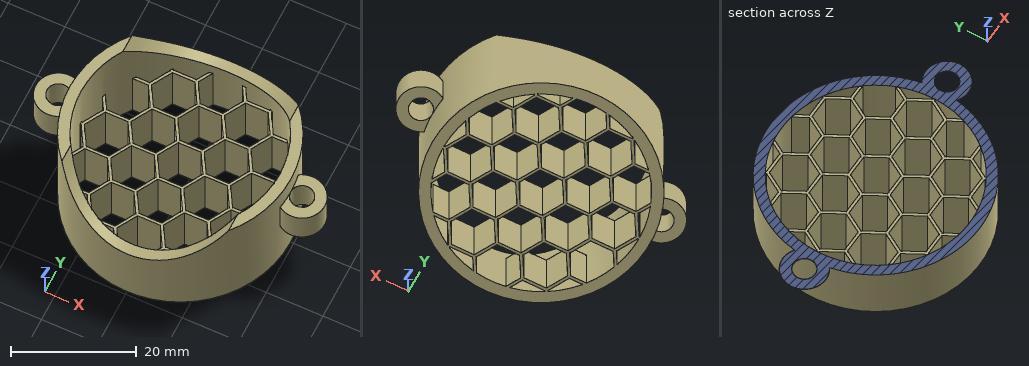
import cadquery as cq
import math

overall_length = 51.0
ring_diameter = 39.0
bore_diameter = 35.0
ring_height = 20.0

saddle_radius = 17.5
saddle_low_point = 12.0

lug_diameter = 8.0
lug_hole_diameter = 4.0
lug_bottom = 10.0
lug_height = 6.0
lug_offset = (overall_length - lug_diameter) / 2

cell_pitch = 7.45
cell_wall = 0.5
grille_height = 10.0


def cylinder(diameter, height, x=0, z=0):
    """Vertical cylinder centred at (x, 0) and standing on height z."""
    return cq.Workplane("XY", origin=(x, 0, z)).circle(diameter / 2).extrude(height)


def make_ring():
    """Tube with a saddle-shaped top edge."""
    tube = cylinder(ring_diameter, ring_height).cut(cylinder(bore_diameter, ring_height))
    saddle = (
        cq.Workplane("XZ")
        .center(0, saddle_low_point + saddle_radius)
        .circle(saddle_radius)
        .extrude(ring_diameter, both=True)
    )
    return tube.cut(saddle)


def make_lug(side):
    """Lug with a vertical hole, kept clear of the bore; side is +1 or -1 along X."""
    x = side * lug_offset
    lug = cylinder(lug_diameter, lug_height, x, lug_bottom)
    hole = cylinder(lug_hole_diameter, lug_height, x, lug_bottom)
    return lug.cut(hole).cut(cylinder(bore_diameter, ring_height))


def cell_centers():
    """Centres of a grid of hexagonal cells that covers the bore, one cell lying on the axis."""
    column_pitch = cell_pitch * math.sqrt(3) / 2
    reach = math.ceil(bore_diameter / 2 / column_pitch) + 1
    centers = []
    for column in range(-reach, reach + 1):
        for row in range(-reach, reach + 1):
            y = (row + column % 2 / 2) * cell_pitch
            centers.append((column * column_pitch, y))
    return centers


def make_grille():
    """Disc filling the bore, pierced by hexagonal cells with flats facing +Y and -Y."""
    cell_corner_diameter = (cell_pitch - cell_wall) * 2 / math.sqrt(3)
    cells = (
        cq.Workplane("XY")
        .pushPoints(cell_centers())
        .polygon(6, cell_corner_diameter)
        .extrude(grille_height)
    )
    return cylinder(bore_diameter, grille_height).cut(cells)


result = make_ring().union(make_grille())
for side in (-1, 1):
    result = result.union(make_lug(side))